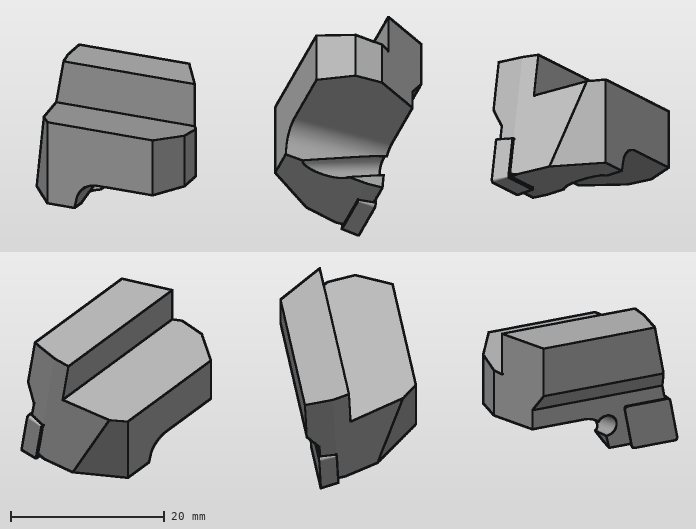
import cadquery as cq
import math


length = 23.55
depth = 15.28
height = 18.0

lean_angle = 10.0
top_left_x = 3.72
floor_z = 0.6
arm_z = 5.49
nose_right_x = 9.51
nose_wall_angle = 13.0
arm_fillet = 3.0
nose_radius = 0.4

seat_y = 11.52
front_bottom_z = 1.77
front_top_z = 13.3
ledge_y = 9.33
ledge_z = 12.0
lower_back_y = 13.68
back_slope_bottom_z = 8.31
back_slope_top_z = 10.97

front_left_x = 5.93
left_corner_angle = 35.0
front_right_x = 20.95
right_front_y = 4.45
right_back_y = 8.17
back_right_x = 19.45

hole_diameter = 2.8
hole_x = 9.9
hole_y = 5.65
hole_angle = 19.0

insert_height = 6.33
insert_back_y = 13.92
insert_clearance = 7.0
insert_corner_radius = 0.4

lean = math.tan(math.radians(lean_angle))
flank_floor_x = top_left_x - lean * (height - floor_z)
bottom_slope = (front_bottom_z - floor_z) / seat_y


def front_outline():
    """Outline with the leaning flank, the nose and the arm, running the full depth."""
    arm_corner_x = nose_right_x + math.tan(math.radians(nose_wall_angle)) * (arm_z - floor_z)
    outline = (
        cq.Workplane("XZ")
        .polyline([
            (flank_floor_x, floor_z),
            (nose_right_x, floor_z),
            (arm_corner_x, arm_z),
            (length, arm_z),
            (length, height),
            (top_left_x, height),
        ])
        .close()
        .extrude(-depth)
    )
    arm_edge = cq.selectors.NearestToPointSelector((arm_corner_x, depth / 2, arm_z))
    outline = outline.edges(arm_edge).fillet(arm_fillet)
    nose_edge = cq.selectors.NearestToPointSelector((flank_floor_x, depth / 2, floor_z))
    return outline.edges(nose_edge).fillet(nose_radius)


def side_profile():
    """Stepped profile with the sloped ledge, relieved bottom and stepped back."""
    return (
        cq.Workplane("YZ")
        .polyline([
            (0, front_bottom_z),
            (seat_y, floor_z),
            (lower_back_y, floor_z),
            (lower_back_y, back_slope_bottom_z),
            (depth, back_slope_top_z),
            (depth, height),
            (ledge_y, height),
            (ledge_y, ledge_z),
            (0, front_top_z),
        ])
        .close()
        .extrude(length)
    )


def plan_outline():
    """Plan with the corners cut off at the front left and on the right."""
    corner_end_y = front_left_x / math.tan(math.radians(left_corner_angle))
    return (
        cq.Workplane("XY")
        .polyline([
            (front_left_x, 0),
            (front_right_x, 0),
            (length, right_front_y),
            (length, right_back_y),
            (back_right_x, depth),
            (0, depth),
            (0, corner_end_y),
        ])
        .close()
        .extrude(height)
    )


def flank_relief():
    """Block outside the left flank, which falls away toward the front from the seat."""
    flank_plane = cq.Plane(
        origin=(flank_floor_x, seat_y, floor_z),
        xDir=(lean, 0, 1),
        normal=(-1, -lean, lean),
    )
    block_size = 4 * length
    return cq.Workplane(flank_plane).rect(block_size, block_size).extrude(length)


def inclined_hole():
    """Cylinder rising toward the back from the sloped bottom."""
    angle = math.radians(hole_angle)
    hole_z = front_bottom_z - bottom_slope * hole_y
    hole_plane = cq.Plane(
        origin=(hole_x, hole_y, hole_z),
        xDir=(1, 0, 0),
        normal=(0, math.cos(angle), math.sin(angle)),
    )
    return cq.Workplane(hole_plane).circle(hole_diameter / 2).extrude(depth, both=True)


def make_insert():
    """Rhombic insert with rounded corners, narrowing toward the seat."""
    lean_cos = math.cos(math.radians(lean_angle))
    side = insert_height / lean_cos
    left_x = insert_corner_radius * (1 - 1 / lean_cos - lean)
    top_shift = insert_height * lean
    rhombus = (
        cq.Sketch()
        .polygon([
            (left_x, 0),
            (left_x + side, 0),
            (left_x + side + top_shift, insert_height),
            (left_x + top_shift, insert_height),
            (left_x, 0),
        ])
        .vertices()
        .fillet(insert_corner_radius)
    )
    return (
        cq.Workplane("XZ", origin=(0, insert_back_y, 0))
        .placeSketch(rhombus)
        .extrude(insert_back_y - seat_y, taper=insert_clearance)
    )


def make_holder(seated_insert):
    """Tool holder with a seat that matches the insert."""
    body = front_outline().intersect(side_profile()).intersect(plan_outline())
    return body.cut(flank_relief()).cut(inclined_hole()).cut(seated_insert).solids()


insert = make_insert()
holder = make_holder(insert)

result = cq.Compound.makeCompound([holder.val(), insert.val()])